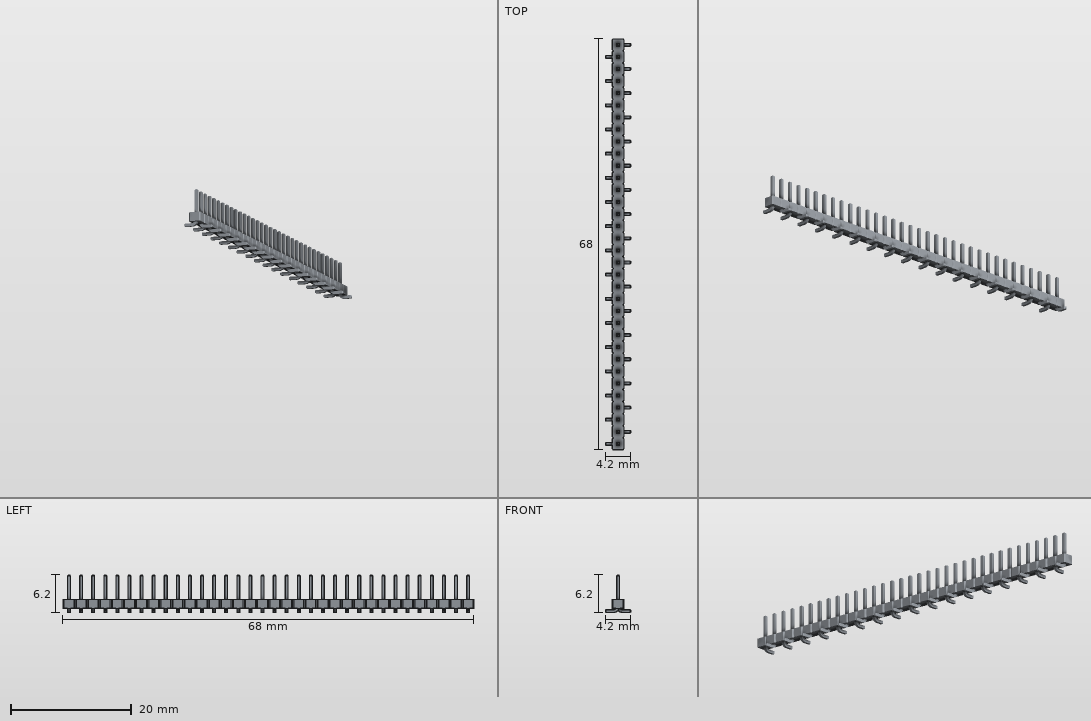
import cadquery as cq
import math

pin_count = 34
pitch = 2.0
row_length = pin_count * pitch

body_width = 2.0
body_bottom = 0.7
body_height = 1.5
corner_chamfer = 0.2

pin_size = 0.5
pin_top = 6.2
tip_chamfer = pin_size / 4
leg_reach = 2.1
bend_inner_radius = pin_size
bend_outer_radius = bend_inner_radius + pin_size


def make_block(y):
    """One-pin housing block; neighbouring chamfers form V notches."""
    return (
        cq.Workplane("XY", origin=(0, y, body_bottom))
        .rect(body_width, pitch)
        .extrude(body_height)
        .edges("|Z")
        .chamfer(corner_chamfer)
    )


def make_pin():
    """Square pin at Y = 0 with its foot bent towards -X."""
    half = pin_size / 2
    bend_x = half - bend_outer_radius
    bend_z = bend_outer_radius
    outer_mid = bend_outer_radius * math.cos(math.pi / 4)
    inner_mid = bend_inner_radius * math.cos(math.pi / 4)
    return (
        cq.Workplane("XZ")
        .moveTo(half, pin_top)
        .lineTo(half, bend_z)
        .threePointArc((bend_x + outer_mid, bend_z - outer_mid), (bend_x, 0))
        .lineTo(-leg_reach, 0)
        .lineTo(-leg_reach, pin_size)
        .lineTo(bend_x, pin_size)
        .threePointArc((bend_x + inner_mid, bend_z - inner_mid), (-half, bend_z))
        .lineTo(-half, pin_top)
        .close()
        .extrude(half, both=True)
        .faces(">Z or <X")
        .chamfer(tip_chamfer)
    )


left_pin = make_pin()
right_pin = left_pin.rotate((0, 0, 0), (0, 0, 1), 180)

first_y = (pitch - row_length) / 2
blocks = []
pins = []
for index in range(pin_count):
    y = first_y + index * pitch
    blocks.append(make_block(y).val())
    pin = left_pin if index % 2 == 0 else right_pin
    pins.append(pin.translate((0, y, 0)).val())

housing = blocks[0].fuse(*blocks[1:]).clean()
result = cq.Workplane("XY").newObject([housing.fuse(*pins)])